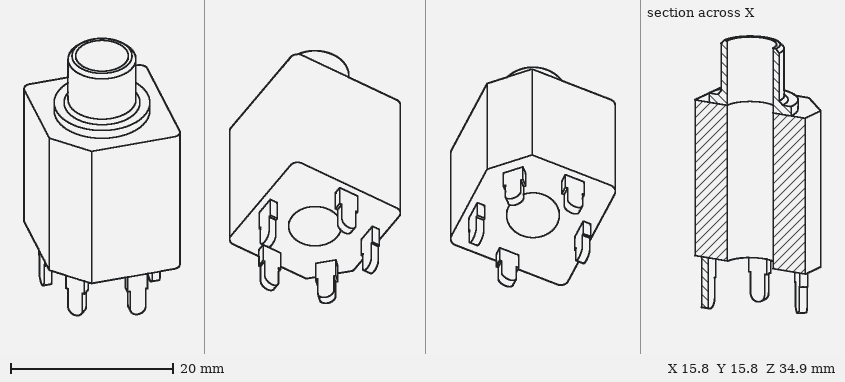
import cadquery as cq

housing_side = 15.8
housing_height = 20.05
corner_radius = 1.0
corner_cut = 4.2

pin_length = 6.6
pin_thickness = 1.0
shoulder_width = 2.6
shoulder_length = 2.93
tip_width = 2.02
tip_offset = 0.05
pin_distance = 6.5
near_pin_shift = 0.5
far_pin_shift = 2.48

overall_height = 34.9
bushing_height = overall_height - housing_height - pin_length
flange_radius = 5.9
flange_height = 1.2
tube_radius = 4.2
edge_bevel = 0.5
bore_diameter = 6.5


def make_housing():
    """Block with one cut corner, three rounded corners and a through bore."""
    half = housing_side / 2
    block = (
        cq.Workplane("XY")
        .moveTo(-half, -half)
        .lineTo(half - corner_cut, -half)
        .lineTo(half, -half + corner_cut)
        .lineTo(half, half)
        .lineTo(-half, half)
        .close()
        .extrude(housing_height)
    )
    block = block.edges("|Z and (<X or >Y)").fillet(corner_radius)
    return block.faces(">Z").workplane(origin=(0, 0, 0)).hole(bore_diameter)


def make_bushing():
    """Revolved flange and tube, with a bevelled foot and rim."""
    bore_radius = bore_diameter / 2
    return (
        cq.Workplane("XZ", origin=(0, 0, housing_height))
        .moveTo(bore_radius, 0)
        .lineTo(flange_radius, 0)
        .lineTo(flange_radius, flange_height)
        .lineTo(tube_radius + edge_bevel, flange_height)
        .lineTo(tube_radius, flange_height + edge_bevel)
        .lineTo(tube_radius, bushing_height - edge_bevel)
        .lineTo(tube_radius - edge_bevel, bushing_height)
        .lineTo(bore_radius, bushing_height)
        .close()
        .revolve(360, (0, 0, 0), (0, 1, 0))
    )


def make_pin(angle, side_shift, tip_shift):
    """Flat stepped pin with a round tip.

    It is drawn at the -Y wall, where shifts run along +X, then turned about Z.
    """
    half_shoulder = shoulder_width / 2
    tip_radius = tip_width / 2
    tip_left = tip_shift - tip_radius
    tip_right = tip_shift + tip_radius
    arc_start = -pin_length + tip_radius
    return (
        cq.Workplane("XZ")
        .moveTo(-half_shoulder, 0)
        .lineTo(half_shoulder, 0)
        .lineTo(half_shoulder, -shoulder_length)
        .lineTo(tip_right, -shoulder_length)
        .lineTo(tip_right, arc_start)
        .threePointArc((tip_shift, -pin_length), (tip_left, arc_start))
        .lineTo(tip_left, -shoulder_length)
        .lineTo(-half_shoulder, -shoulder_length)
        .close()
        .extrude(pin_thickness / 2, both=True)
        .translate((side_shift, -pin_distance, 0))
        .rotate((0, 0, 0), (0, 0, 1), angle)
    )


pin_places = [
    (0, -far_pin_shift, -tip_offset),
    (45, 0, 0),
    (90, far_pin_shift, tip_offset),
    (180, -near_pin_shift, -tip_offset),
    (270, near_pin_shift, tip_offset),
]

housing = make_housing()
bushing = make_bushing()
pins = [make_pin(*place) for place in pin_places]

result = cq.Compound.makeCompound([housing.val(), bushing.val(), *[pin.val() for pin in pins]])